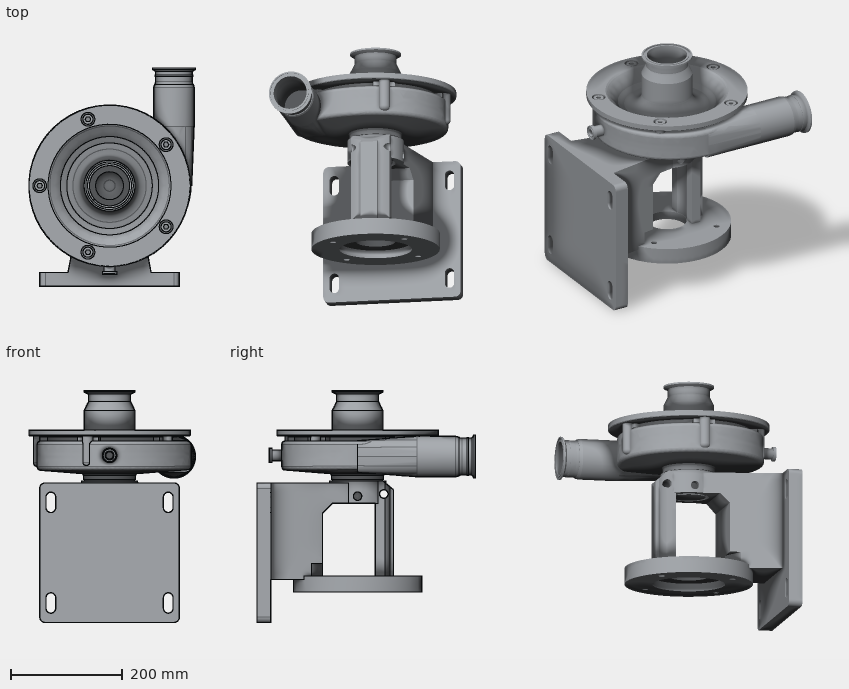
import cadquery as cq
import math


plate_size = 250.0
plate_thickness = 25.0
plate_front_y = -180.0
plate_back_y = plate_front_y + plate_thickness
plate_corner_radius = 10.0
slot_length = 36.0
slot_width = 17.0
slot_pitch_x = 210.0
slot_pitch_z = 180.0

head_radius = 50.5
head_bore_radius = 36.0
head_bottom_z = 213.0
head_top_z = 253.5
head_hole_diameter = 15.0
head_hole_z = 226.0
web_head_y = -16.0
web_plate_half_width = 74.5
web_bottom_z = 77.0
window_back_y = -62.5
window_chamfer = 17.5
bolt_relief_height = 22.5
bolt_relief_back_y = -83.0
bolt_relief_angle = 25.0
post_half_width = 35.0
post_front_y = 31.5
post_outer_radius = 60.0
post_rib_half_width = 15.0
post_rib_y = 64.5
post_chamfer_width = 19.5
post_chamfer_height = 16.0
post_hole_y = 47.0
post_hole_z = 230.0
motor_flange_radius = 115.0
motor_flange_bore_radius = 35.3
motor_register_radius = 65.0
motor_register_depth = 14.0
motor_flange_bottom_z = 54.5
motor_flange_top_z = 83.5
motor_hole_pitch = 130.0
motor_hole_diameter = 11.0

volute_start_radius = 127.5
volute_growth = 18.5
volute_spiral_turn = 0.75
outline_steps = 16
volute_top_z = 325.0
volute_edge_radius = 6.5
volute_back_slope = 0.08
neck_radius = 46.7
neck_top_z = 266.0
neck_bottom_z = 256.0
neck_fillet = 3.0
neck_cone_radius = 45.0
neck_foot_radius = head_radius - 2.0
joint_ring_radius = 113.0
joint_lobe_radius = 126.0
joint_lobe_width = 39.0
joint_ring_top_z = 332.0
gasket_radius = 110.0
spigot_radius = 30.0

lid_radius = 144.5
lid_chamfer = 1.2
lid_bottom_z = 334.0
lid_top_z = 344.0
lid_plug_radius = 113.0
lid_plug_depth = 20.0
dish_radius = 110.0
dish_edge_radius = 107.0
dish_edge_drop = 2.0
dish_cone_radius = 88.0
dish_cone_z = 323.0
dish_floor_outer_radius = 76.6
dish_floor_inner_radius = 65.6
dish_floor_z = 318.0
inlet_radius = 45.6
inlet_cone_bottom_z = 379.0
inlet_cone_top_z = 395.0
inlet_neck_radius = 37.8
inlet_bore_radius = 36.0
inlet_flange_radius = 45.5
inlet_top_z = 415.0
inlet_floor_z = 300.0
inlet_wide_bore_radius = 43.0
inlet_bore_neck_z = 373.0
inlet_bore_cone_z = 360.0
bowl_radius = 25.0
bowl_floor_radius = 10.0
bowl_depth = 10.0
bowl_curve_radius = 18.0

ferrule_rim = 2.9
ferrule_taper = 3.6
groove_width = 3.2
groove_depth = 1.6
inlet_groove_radius = 41.0
outlet_groove_radius = 34.8
drain_groove_radius = 9.7

screw_count = 5
screw_circle_radius = 125.0
counterbore_radius = 12.3
counterbore_depth = 6.0
screw_head_radius = 9.0
screw_head_height = 5.0
socket_width = 10.0
socket_depth = 4.0
boss_radius = 9.7
boss_circle_radius = 126.6
boss_bottom_z = 279.0
boss_rounding = 7.0

overall_width = 298.4
outlet_end_y = 211.0
outlet_flange_radius = 38.75
outlet_x = overall_width - lid_radius - outlet_flange_radius
outlet_z = 297.0
outlet_neck_radius = 33.2
outlet_bead_radius = 33.8
outlet_step_radius = 35.0
outlet_pipe_radius = 36.4
outlet_bore_radius = 30.0
outlet_bead_start_y = 195.5
outlet_bead_end_y = 198.0
outlet_taper_y = 186.5
outlet_step_y = 181.0
outlet_pipe_end_y = 175.5
outlet_loft_y = 106.0
throat_half_width = 32.0
throat_half_height = 28.5
throat_corner_radius = 12.0

drain_z = 299.0
drain_radius = 10.0
drain_flange_radius = 13.0
drain_bore_radius = 6.5
drain_flange_y = -153.0
drain_end_y = -158.5
drain_root_y = -125.0
drain_bore_end_y = -138.5


def cylinder(radius, bottom, top, x=0.0, y=0.0):
    """Upright cylinder between two heights."""
    return cq.Workplane("XY", origin=(x, y, bottom)).circle(radius).extrude(top - bottom)


def box(x0, x1, y0, y1, z0, z1):
    """Axis-aligned box between opposite corners."""
    return cq.Workplane("XY").box(x1 - x0, y1 - y0, z1 - z0, centered=False).translate((x0, y0, z0))


def revolve_profile(points):
    """Solid of revolution about Z from (radius, z) points."""
    return cq.Workplane("XZ").polyline(points).close().revolve(360, (0, 0, 0), (0, 1, 0))


def x_drill(diameter, y, z, x0, x1):
    """Round cutter along X."""
    return cq.Workplane("YZ", origin=(x0, y, z)).circle(diameter / 2).extrude(x1 - x0)


def face_groove(plane, origin, mean_radius):
    """Ring cutter for the gasket groove in a clamp ferrule face."""
    ring = cq.Workplane(plane, origin=origin).circle(mean_radius + groove_width / 2)
    return ring.circle(mean_radius - groove_width / 2).extrude(groove_depth)


def screw_angles():
    return [180 + i * 360 / screw_count for i in range(screw_count)]


def polar(radius, degrees):
    angle = math.radians(degrees)
    return (radius * math.cos(angle), radius * math.sin(angle))


def make_plate():
    plate = box(-plate_size / 2, plate_size / 2, plate_front_y, plate_back_y, 0, plate_size)
    plate = plate.edges("|Y").fillet(plate_corner_radius)
    slots = (
        cq.Workplane("XZ", origin=(0, plate_back_y, plate_size / 2))
        .rarray(slot_pitch_x, slot_pitch_z, 2, 2)
        .slot2D(slot_length, slot_width, 90)
        .extrude(plate_thickness)
    )
    return plate.cut(slots)


def make_web():
    """Tapered block from the plate to the head ring, with the coupling window cut out."""
    web_head_half_width = math.sqrt(head_radius**2 - web_head_y**2)
    web = (
        cq.Workplane("XY", origin=(0, 0, web_bottom_z))
        .moveTo(-web_plate_half_width, plate_back_y)
        .lineTo(web_plate_half_width, plate_back_y)
        .lineTo(web_head_half_width, web_head_y)
        .lineTo(-web_head_half_width, web_head_y)
        .close()
        .extrude(plate_size - web_bottom_z)
    )
    window = (
        cq.Workplane("YZ")
        .moveTo(0, web_bottom_z)
        .lineTo(window_back_y, web_bottom_z)
        .lineTo(window_back_y, head_bottom_z - window_chamfer)
        .lineTo(window_back_y + window_chamfer, head_bottom_z)
        .lineTo(0, head_bottom_z)
        .close()
        .extrude(plate_size / 2, both=True)
    )
    return web.cut(window).cut(make_bolt_reliefs())


def make_bolt_reliefs():
    """Slanted cuts at the foot of the web, beside the motor bolts."""
    relief_slope = math.tan(math.radians(bolt_relief_angle))
    side_slope = (web_plate_half_width - head_radius) / (web_head_y - plate_back_y)
    side_x = web_plate_half_width - side_slope * (bolt_relief_back_y - plate_back_y)
    inner_x = side_x - (window_back_y - bolt_relief_back_y) / relief_slope
    outer_x = web_plate_half_width
    outer_y = bolt_relief_back_y - (outer_x - side_x) * relief_slope
    relief = (
        cq.Workplane("XY", origin=(0, 0, motor_flange_top_z))
        .moveTo(inner_x, window_back_y)
        .lineTo(outer_x, outer_y)
        .lineTo(outer_x, window_back_y)
        .close()
        .extrude(bolt_relief_height)
    )
    return relief.union(relief.mirror("YZ"))


def make_post():
    """Arched post joining the head ring to the motor flange, with a rib down its back."""
    bottom = motor_flange_top_z
    top = head_top_z
    block = box(-post_half_width, post_half_width, post_front_y, post_outer_radius, bottom, top)
    block = block.intersect(cylinder(post_outer_radius, bottom, top))
    rib = box(-post_rib_half_width, post_rib_half_width, post_front_y, post_rib_y, bottom, top)
    corner = (
        cq.Workplane("YZ")
        .moveTo(post_rib_y, top)
        .lineTo(post_rib_y - post_chamfer_width, top)
        .lineTo(post_rib_y, top - post_chamfer_height)
        .close()
        .extrude(post_half_width, both=True)
    )
    return block.union(rib).cut(corner)


def make_motor_flange():
    """Round flange with four bolt holes, a bore and a register recess underneath."""
    flange = cylinder(motor_flange_radius, motor_flange_bottom_z, motor_flange_top_z)
    holes = (
        cq.Workplane("XY", origin=(0, 0, motor_flange_bottom_z))
        .rarray(motor_hole_pitch, motor_hole_pitch, 2, 2)
        .circle(motor_hole_diameter / 2)
        .extrude(motor_flange_top_z - motor_flange_bottom_z)
    )
    bore = cylinder(motor_flange_bore_radius, motor_flange_bottom_z, motor_flange_top_z)
    register_top_z = motor_flange_bottom_z + motor_register_depth
    register = cylinder(motor_register_radius, motor_flange_bottom_z, register_top_z)
    return flange.cut(holes).cut(bore).cut(register)


def make_bracket():
    bracket = cylinder(head_radius, head_bottom_z, head_top_z)
    bracket = bracket.union(make_web()).union(make_post())
    bracket = bracket.cut(cylinder(head_bore_radius, motor_flange_top_z, head_top_z))
    bracket = bracket.union(make_motor_flange())
    for hole_y, hole_z in ((0, head_hole_z), (post_hole_y, post_hole_z)):
        bracket = bracket.cut(x_drill(head_hole_diameter, hole_y, hole_z, -head_radius, head_radius))
    return bracket.union(make_plate())


def volute_outline_point(turn):
    """Point on the casing outline, with turn running 0 to 1 anticlockwise from +Y."""
    if turn <= volute_spiral_turn:
        radius = volute_start_radius + volute_growth * (turn / volute_spiral_turn)**2
    else:
        fade = (turn - volute_spiral_turn) / (1 - volute_spiral_turn)
        radius = volute_start_radius + volute_growth * (1 + math.cos(math.pi * fade)) / 2
    return polar(radius, 90 + 360 * turn)


def make_volute():
    """Spiral casing with a shallow conical back and rounded rims."""
    outline = [volute_outline_point(step / outline_steps) for step in range(outline_steps)]
    casing = (
        cq.Workplane("XY", origin=(0, 0, neck_top_z))
        .spline(outline, periodic=True)
        .close()
        .extrude(volute_top_z - neck_top_z)
    )
    rim_radius = 1.5 * volute_start_radius
    rim_z = neck_top_z + volute_back_slope * (rim_radius - neck_radius)
    envelope = revolve_profile([
        (0, neck_top_z),
        (neck_radius, neck_top_z),
        (rim_radius, rim_z),
        (rim_radius, volute_top_z),
        (0, volute_top_z),
    ])
    casing = casing.intersect(envelope)
    back_rim = casing.edges("not %LINE").edges(
        cq.selectors.BoxSelector(
            (-rim_radius, -rim_radius, neck_top_z + volute_edge_radius / 2),
            (rim_radius, rim_radius, volute_top_z - volute_edge_radius),
        )
    )
    casing = back_rim.fillet(volute_edge_radius)
    return casing.faces(">Z").edges().fillet(volute_edge_radius)


def make_casing():
    """Volute with its joint ring, neck, spigot and screw bosses."""
    casing = make_volute()
    casing = casing.union(cylinder(joint_ring_radius, volute_top_z, joint_ring_top_z))
    casing = casing.union(cylinder(gasket_radius, joint_ring_top_z, lid_bottom_z))
    neck = revolve_profile([
        (0, plate_size),
        (neck_foot_radius, head_top_z),
        (neck_cone_radius, head_top_z),
        (neck_cone_radius, neck_bottom_z),
        (neck_radius, neck_bottom_z),
        (neck_radius, neck_top_z - neck_fillet),
        (neck_radius + neck_fillet, neck_top_z + neck_fillet),
        (0, neck_top_z + neck_fillet),
    ])
    casing = casing.union(neck).union(cylinder(spigot_radius, head_bottom_z, head_top_z))
    lobe_ring = cylinder(joint_lobe_radius, volute_top_z, joint_ring_top_z)
    half_lobe = joint_lobe_width / 2
    for angle in screw_angles():
        lobe = box(0, joint_lobe_radius, -half_lobe, half_lobe, volute_top_z, joint_ring_top_z)
        casing = casing.union(lobe.rotate((0, 0, 0), (0, 0, 1), angle).intersect(lobe_ring))
        boss = cylinder(boss_radius, boss_bottom_z, lid_bottom_z, *polar(boss_circle_radius, angle))
        casing = casing.union(boss.faces("<Z").edges().fillet(boss_rounding))
    return casing


def make_outlet():
    """Pipe along +Y, blended into the volute and ending in a clamp ferrule."""
    taper_y = outlet_end_y - ferrule_rim - ferrule_taper
    rim_y = outlet_end_y - ferrule_rim
    profile = [
        (0, outlet_loft_y),
        (outlet_pipe_radius, outlet_loft_y),
        (outlet_pipe_radius, outlet_pipe_end_y),
        (outlet_step_radius, outlet_step_y),
        (outlet_bead_radius, outlet_step_y),
        (outlet_neck_radius, outlet_taper_y),
        (outlet_neck_radius, outlet_bead_start_y),
        (outlet_bead_radius, outlet_bead_start_y),
        (outlet_bead_radius, outlet_bead_end_y),
        (outlet_neck_radius, outlet_bead_end_y),
        (outlet_neck_radius, taper_y),
        (outlet_flange_radius, rim_y),
        (outlet_flange_radius, outlet_end_y),
        (0, outlet_end_y),
    ]
    pipe = revolve_profile(profile).rotate((0, 0, 0), (1, 0, 0), -90)
    pipe = pipe.translate((outlet_x, 0, outlet_z))
    throat_section = cq.Sketch().rect(2 * throat_half_width, 2 * throat_half_height)
    throat_section = throat_section.vertices().fillet(throat_corner_radius)
    pipe_section = cq.Sketch().circle(outlet_pipe_radius)
    blend = (
        cq.Workplane("XZ", origin=(outlet_x, 0, outlet_z))
        .placeSketch(throat_section, pipe_section.moved(cq.Location(cq.Vector(0, 0, -outlet_loft_y))))
        .loft()
    )
    bore = cq.Workplane("XZ", origin=(outlet_x, outlet_end_y, outlet_z))
    bore = bore.circle(outlet_bore_radius).extrude(outlet_end_y - outlet_loft_y)
    groove_origin = (outlet_x, outlet_end_y, outlet_z)
    groove = face_groove("XZ", groove_origin, outlet_groove_radius)
    return pipe.union(blend).cut(bore).cut(groove)


def make_lid():
    """Dished lid with the inlet pipe rising from its middle."""
    taper_z = inlet_top_z - ferrule_rim - ferrule_taper
    blend_radius = dish_floor_inner_radius - inlet_radius
    blend_mid = blend_radius * (1 - math.sqrt(0.5))
    plug_bottom_z = lid_bottom_z - lid_plug_depth
    plug_radius = gasket_radius - 5 if gasket_radius < lid_plug_radius else lid_plug_radius
    return (
        cq.Workplane("XZ")
        .moveTo(0, plug_bottom_z)
        .lineTo(plug_radius, plug_bottom_z)
        .lineTo(plug_radius, lid_bottom_z)
        .lineTo(lid_radius - lid_chamfer, lid_bottom_z)
        .lineTo(lid_radius, lid_bottom_z + lid_chamfer)
        .lineTo(lid_radius, lid_top_z)
        .lineTo(dish_radius, lid_top_z)
        .lineTo(dish_edge_radius, lid_top_z - dish_edge_drop)
        .lineTo(dish_cone_radius, dish_cone_z)
        .lineTo(dish_floor_outer_radius, dish_floor_z)
        .lineTo(dish_floor_inner_radius, dish_floor_z)
        .threePointArc(
            (inlet_radius + blend_mid, dish_floor_z + blend_mid),
            (inlet_radius, dish_floor_z + blend_radius),
        )
        .lineTo(inlet_radius, inlet_cone_bottom_z)
        .lineTo(inlet_neck_radius, inlet_cone_top_z)
        .lineTo(inlet_neck_radius, taper_z)
        .lineTo(inlet_flange_radius, inlet_top_z - ferrule_rim)
        .lineTo(inlet_flange_radius, inlet_top_z)
        .lineTo(0, inlet_top_z)
        .close()
        .revolve(360, (0, 0, 0), (0, 1, 0))
    )


def cut_inlet(pump):
    """Inlet bore that widens below its neck, down to a bowl in the middle of the floor."""
    bore = revolve_profile([
        (0, inlet_floor_z),
        (inlet_wide_bore_radius, inlet_floor_z),
        (inlet_wide_bore_radius, inlet_bore_cone_z),
        (inlet_bore_radius, inlet_bore_neck_z),
        (inlet_bore_radius, inlet_top_z),
        (0, inlet_top_z),
    ])
    bowl = (
        cq.Workplane("XZ")
        .moveTo(0, inlet_floor_z)
        .lineTo(bowl_radius, inlet_floor_z)
        .radiusArc((bowl_floor_radius, inlet_floor_z - bowl_depth), bowl_curve_radius)
        .lineTo(0, inlet_floor_z - bowl_depth)
        .close()
        .revolve(360, (0, 0, 0), (0, 1, 0))
    )
    return pump.cut(bore).cut(bowl)


def make_screw_seats():
    """Counterbores in the lid, as a cutter, and the socket screw heads that sit in them."""
    seat_z = lid_top_z - counterbore_depth
    head_z = seat_z + screw_head_height
    spots = [polar(screw_circle_radius, angle) for angle in screw_angles()]
    counterbores = (
        cq.Workplane("XY", origin=(0, 0, seat_z))
        .pushPoints(spots)
        .circle(counterbore_radius)
        .extrude(counterbore_depth)
    )
    heads = (
        cq.Workplane("XY", origin=(0, 0, seat_z))
        .pushPoints(spots)
        .circle(screw_head_radius)
        .extrude(screw_head_height)
    )
    sockets = (
        cq.Workplane("XY", origin=(0, 0, head_z))
        .pushPoints(spots)
        .polygon(6, socket_width)
        .extrude(-socket_depth)
    )
    return counterbores, heads.cut(sockets)


def make_drain():
    """Drain stub on the -Y side, rooted in the volute wall."""
    stub = cq.Workplane("XZ", origin=(0, drain_root_y, drain_z)).circle(drain_radius)
    stub = stub.extrude(drain_root_y - drain_end_y)
    flange = cq.Workplane("XZ", origin=(0, drain_flange_y, drain_z)).circle(drain_flange_radius)
    flange = flange.extrude(drain_flange_y - drain_end_y)
    bore = cq.Workplane("XZ", origin=(0, drain_bore_end_y, drain_z)).circle(drain_bore_radius)
    bore = bore.extrude(drain_bore_end_y - drain_end_y)
    groove = face_groove("XZ", (0, drain_end_y + groove_depth, drain_z), drain_groove_radius)
    return stub.union(flange).cut(bore).cut(groove)


def make_pump():
    dish = revolve_profile([
        (0, dish_floor_z),
        (dish_floor_outer_radius, dish_floor_z),
        (dish_cone_radius, dish_cone_z),
        (dish_edge_radius, lid_top_z - dish_edge_drop),
        (dish_radius, lid_top_z),
        (0, lid_top_z),
    ])
    pump = make_casing().union(make_outlet()).cut(dish).union(make_lid())
    pump = cut_inlet(pump)
    inlet_groove_origin = (0, 0, inlet_top_z - groove_depth)
    pump = pump.cut(face_groove("XY", inlet_groove_origin, inlet_groove_radius))
    counterbores, screw_heads = make_screw_seats()
    return pump.cut(counterbores).union(screw_heads).union(make_drain())


result = make_pump().union(make_bracket())